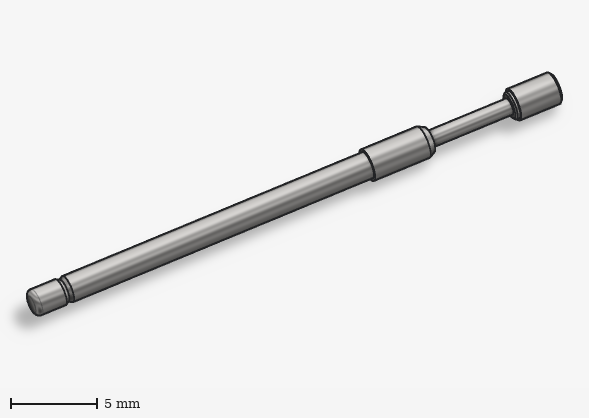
import cadquery as cq

length = 34.3
rear_y = length / 2
tip_y = -length / 2

head_radius = 1.0
head_length = 2.75
head_chamfer = 0.15
collar_radius = 0.85
collar_length = 0.27
collar_chamfer = 0.1

rod_radius = 0.5
rod_length = 5.25

sleeve_radius = 1.0
sleeve_length = 4.05
bevel_length = 0.4
bevel_depth = 0.2

barrel_radius = 0.82
groove_to_tip = 2.13
groove_width = 0.48
groove_depth = 0.15
tip_round = 0.3


def cylinder(radius, start_y, section_length):
    """Cylinder about the Y axis running from start_y toward -Y."""
    plane = cq.Workplane("XZ", origin=(0, start_y, 0))
    return plane.circle(radius).extrude(section_length)


def make_head():
    head = cylinder(head_radius, rear_y, head_length)
    head = head.faces(">Y").chamfer(head_chamfer)
    collar = cylinder(collar_radius, rear_y - head_length, collar_length)
    collar = collar.faces("<Y").chamfer(collar_chamfer)
    return head.union(collar)


def make_sleeve(start_y):
    sleeve = cylinder(sleeve_radius, start_y, sleeve_length)
    bevel = (
        cq.Workplane("XY")
        .moveTo(sleeve_radius - bevel_depth, start_y)
        .lineTo(sleeve_radius, start_y)
        .lineTo(sleeve_radius, start_y - bevel_length)
        .close()
        .revolve(360, (0, 0, 0), (0, 1, 0))
    )
    return sleeve.cut(bevel)


def make_barrel(start_y):
    barrel = cylinder(barrel_radius, start_y, start_y - tip_y)
    barrel = barrel.faces("<Y").edges().fillet(tip_round)
    groove_y = tip_y + groove_to_tip
    groove = (
        cq.Workplane("XY")
        .moveTo(barrel_radius, groove_y - groove_width / 2)
        .lineTo(barrel_radius - groove_depth, groove_y)
        .lineTo(barrel_radius, groove_y + groove_width / 2)
        .close()
        .revolve(360, (0, 0, 0), (0, 1, 0))
    )
    return barrel.cut(groove)


rod_y = rear_y - head_length - collar_length
sleeve_y = rod_y - rod_length
barrel_y = sleeve_y - sleeve_length

result = (
    make_head()
    .union(cylinder(rod_radius, rod_y, rod_length))
    .union(make_sleeve(sleeve_y))
    .union(make_barrel(barrel_y))
)